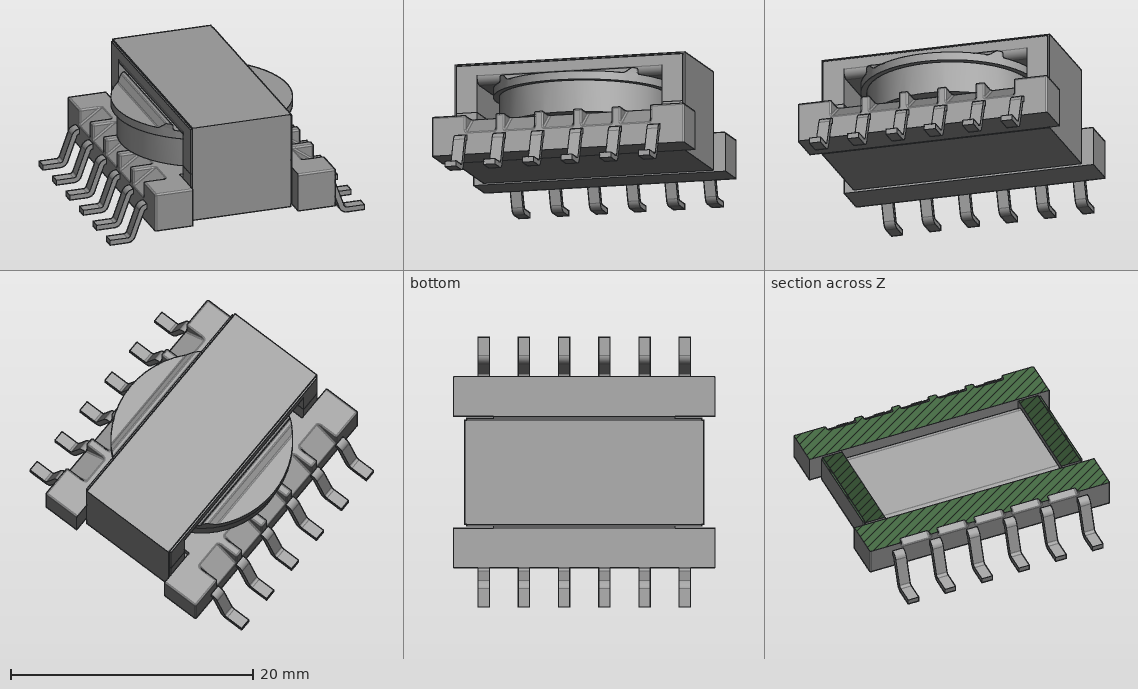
import cadquery as cq
import math

bobbin_length = 21.6
row_to_row = 15.81
block_width = 3.3
block_height = 3.3
block_base_z = 1.63
block_top_z = block_base_z + block_height
block_outer_y = row_to_row / 2
block_inner_y = block_outer_y - block_width
edge_radius = 0.13

pins_per_row = 6
pin_pitch = 3.32
pin_width = 0.95
pin_thickness = 0.45
pin_exit_z = 3.03
toe_end_y = 11.14
pin_embedding = 0.45
leg_tilt = 20.0
bend_inner_radius = 0.27
bend_outer_radius = bend_inner_radius + pin_thickness

rib_width = 0.75
notch_width = pin_pitch - rib_width
notch_run = 2.0
notch_drop = 1.45

plate_thickness = 0.7
flange_radius = 7.5
flange_thickness = 0.7
flange_top_z = 8.25
winding_radius = 7.02

ridge_height = 0.51
ridge_top_width = 0.47
ridge_radius = 0.15

tape_thickness = 0.15
tape_width = 8.6
tape_top_z = 9.98
core_width = 8.9
core_length = 19.42
core_top_z = tape_top_z - tape_thickness
core_split_z = 5.83
core_half_height = core_top_z - core_split_z
core_base_z = core_split_z - core_half_height
core_window_length = 15.85
window_edge_radius = 0.7


def centred_box(length, width, base_z, top_z):
    """Box centred on the Z axis between two heights."""
    return cq.Workplane("XY").workplane(offset=base_z).rect(length, width).extrude(top_z - base_z)


def mirrored_pair(front):
    """A shape on the -Y side together with its copy on the +Y side."""
    return front.union(front.mirror("XZ"))


def notch_cutter(centre_x):
    """Wedge with a sloping floor, rounded where the floor meets the side walls."""
    front_y = -block_outer_y
    wedge = (
        cq.Workplane("YZ", origin=(centre_x - notch_width / 2, 0, 0))
        .moveTo(front_y + notch_run, block_top_z)
        .lineTo(front_y, block_top_z - notch_drop)
        .lineTo(front_y, block_top_z)
        .close()
        .extrude(notch_width)
    )
    return wedge.edges("not(|X or |Y or |Z)").fillet(edge_radius)


def make_block():
    """Terminal block of the -Y side, with notches and rounded outer edges."""
    block = centred_box(bobbin_length, block_width, block_base_z, block_top_z)
    block = block.translate((0, -(block_inner_y + block_width / 2), 0))
    first_notch_x = -(pins_per_row - 2) / 2 * pin_pitch
    for gap in range(pins_per_row - 1):
        block = block.cut(notch_cutter(first_notch_x + gap * pin_pitch))
    rounded_faces = block.faces(">Z or <Y or <X or >X")
    return rounded_faces.edges("not(<Z or >Y)").fillet(edge_radius)


def make_pin(centre_x):
    """Gull-wing pin of the -Y side, bent down and out to a flat toe."""
    half = pin_thickness / 2
    tilt = math.radians(leg_tilt)
    half_bend = math.tan((math.pi / 2 - tilt) / 2)
    mitre = half * half_bend
    upper_y = block_outer_y + bend_outer_radius * half_bend - mitre
    lower_y = upper_y + (pin_exit_z - half) * math.tan(tilt)
    upper_outer = (-upper_y - mitre, pin_exit_z + half)
    upper_inner = (-upper_y + mitre, pin_exit_z - half)
    lower_inner = (-lower_y - mitre, pin_thickness)
    lower_outer = (-lower_y + mitre, 0)
    outline = [
        (-block_outer_y + pin_embedding, pin_exit_z + half),
        upper_outer,
        lower_inner,
        (-toe_end_y, pin_thickness),
        (-toe_end_y, 0),
        lower_outer,
        upper_inner,
        (-block_outer_y + pin_embedding, pin_exit_z - half),
    ]
    pin_side_x = centre_x - pin_width / 2
    pin = cq.Workplane("YZ", origin=(pin_side_x, 0, 0)).polyline(outline).close().extrude(pin_width)
    bends = [
        (upper_outer, bend_outer_radius),
        (upper_inner, bend_inner_radius),
        (lower_inner, bend_inner_radius),
        (lower_outer, bend_outer_radius),
    ]
    for (corner_y, corner_z), radius in bends:
        corner = cq.NearestToPointSelector((centre_x, corner_y, corner_z))
        pin = pin.edges("|X").edges(corner).fillet(radius)
    return pin


def make_ridge():
    """Ridge of the -Y side on its half of the flange, sloping 45 degrees away from the core."""
    flange_base_z = flange_top_z - flange_thickness
    ridge_top_z = flange_top_z + ridge_height
    inner_foot = (-block_inner_y, flange_top_z)
    inner_corner = (-block_inner_y, ridge_top_z)
    crest = (-block_inner_y - ridge_top_width, ridge_top_z)
    outer_foot = (crest[0] - ridge_height, flange_top_z)
    outline = [
        (0, flange_base_z),
        (0, flange_top_z),
        inner_foot,
        inner_corner,
        crest,
        outer_foot,
        (-flange_radius, flange_top_z),
        (-flange_radius, flange_base_z),
    ]
    ridge = cq.Workplane("YZ").polyline(outline).close().extrude(flange_radius, both=True)
    for corner_y, corner_z in (inner_foot, inner_corner, crest, outer_foot):
        corner = cq.NearestToPointSelector((0, corner_y, corner_z))
        ridge = ridge.edges("|X").edges(corner).fillet(ridge_radius)
    return ridge.intersect(cq.Workplane("XY").circle(flange_radius).extrude(ridge_top_z))


def make_drum():
    """Joining plate, winding and upper flange with its two ridges."""
    plate_base_z = block_top_z - plate_thickness
    drum = centred_box(2 * flange_radius, 2 * block_inner_y, plate_base_z, block_top_z)
    winding = cq.Workplane("XY").workplane(offset=block_top_z).circle(winding_radius)
    drum = drum.union(winding.extrude(flange_top_z - block_top_z))
    flange = cq.Workplane("XY").workplane(offset=flange_top_z).circle(flange_radius)
    drum = drum.union(flange.extrude(-flange_thickness))
    return drum.union(mirrored_pair(make_ridge()))


def make_bobbin():
    """Coil former with its winding and both rows of pins, as one solid."""
    bobbin = make_drum().union(mirrored_pair(make_block()))
    first_pin_x = -(pins_per_row - 1) / 2 * pin_pitch
    for place in range(pins_per_row):
        bobbin = bobbin.union(mirrored_pair(make_pin(first_pin_x + place * pin_pitch)))
    return bobbin


def make_upper_core():
    """Upper U-shaped half, its window rounded where the back meets the side faces."""
    half = centred_box(core_length, core_width, core_split_z, core_top_z)
    half = half.cut(centred_box(core_window_length, core_width, core_split_z, flange_top_z))
    window_top_edges = half.edges("|X").edges(">>Z[-2]")
    return window_top_edges.fillet(window_edge_radius)


def make_lower_core():
    """Lower half, the mirror image of the upper one in the split plane."""
    return make_upper_core().mirror("XY", (0, 0, core_split_z))


def make_tape():
    """Band wrapped around the outside of both core halves."""
    outer_length = core_length + 2 * tape_thickness
    band = centred_box(outer_length, tape_width, core_base_z - tape_thickness, tape_top_z)
    return band.cut(centred_box(core_length, tape_width, core_base_z, core_top_z))


bobbin = make_bobbin()
upper_core = make_upper_core()
lower_core = make_lower_core()
tape = make_tape()

result = cq.Compound.makeCompound([bobbin.val(), upper_core.val(), lower_core.val(), tape.val()])